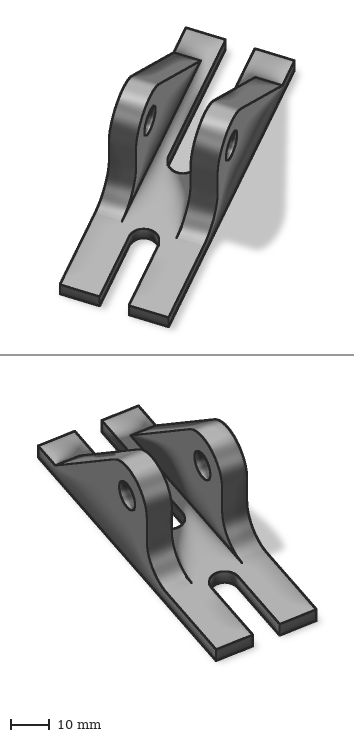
import cadquery as cq
import math

length = 90.0
width = 30.0
height = 32.0
base_thickness = 4.0
lug_thickness = 7.5
lug_radius = 10.0
foot_radius = 10.0
pin_diameter = 8.0
slope_start = 36.3
slot_width = 8.0
back_slot_end = 0.0
front_slot_end = -20.0

pin_height = height - lug_radius


def make_base():
    return cq.Workplane("XY").box(width, length, base_thickness, centered=(True, True, False))


def make_lug(x_start):
    """Side lug whose sloped back edge is tangent to its rounded top."""
    rise = pin_height - base_thickness
    slope_angle = math.atan2(rise, slope_start) + math.asin(lug_radius / math.hypot(slope_start, rise))
    tangent_y = lug_radius * math.sin(slope_angle)
    tangent_z = pin_height + lug_radius * math.cos(slope_angle)
    foot_y = -lug_radius - foot_radius
    foot_top = base_thickness + foot_radius
    foot_mid_offset = foot_radius * (1 - math.sqrt(0.5))
    foot_mid = (-lug_radius - foot_mid_offset, base_thickness + foot_mid_offset)

    return (
        cq.Workplane("YZ", origin=(x_start, 0, 0))
        .moveTo(foot_y, 0)
        .lineTo(slope_start, 0)
        .lineTo(slope_start, base_thickness)
        .lineTo(tangent_y, tangent_z)
        .threePointArc((0, height), (-lug_radius, pin_height))
        .lineTo(-lug_radius, foot_top)
        .threePointArc(foot_mid, (foot_y, base_thickness))
        .close()
        .extrude(lug_thickness)
    )


def make_slot(inner_end, direction):
    """Round-ended slot running from inner_end out through the base end (direction +1 or -1 in Y)."""
    radius = slot_width / 2
    round_start = inner_end + direction * radius
    outer_end = direction * length / 2
    return (
        cq.Workplane("XY")
        .moveTo(-radius, outer_end)
        .lineTo(-radius, round_start)
        .threePointArc((0, inner_end), (radius, round_start))
        .lineTo(radius, outer_end)
        .close()
        .extrude(base_thickness)
    )


def make_pin_hole():
    return (
        cq.Workplane("YZ", origin=(-width / 2, 0, 0))
        .center(0, pin_height)
        .circle(pin_diameter / 2)
        .extrude(width)
    )


result = make_base()
for lug_x in (-width / 2, width / 2 - lug_thickness):
    result = result.union(make_lug(lug_x))
for slot_end, slot_direction in ((back_slot_end, 1), (front_slot_end, -1)):
    result = result.cut(make_slot(slot_end, slot_direction))
result = result.cut(make_pin_hole())